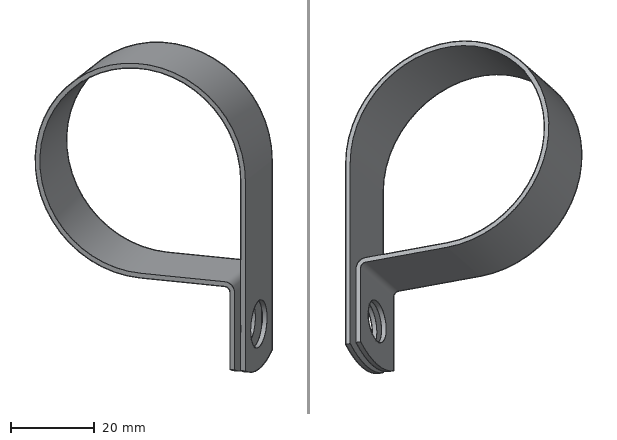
import cadquery as cq
import math

height = 75.8
width = 19.0
loop_radius = 26.6
thickness = 1.2
leg_gap = 1.5
bend_outer_radius = 2.5
inner_leg_hole_diameter = 10.3
outer_leg_hole_diameter = 11.5
hole_height = 11.2
end_radius = 22.0

loop_z = height - loop_radius
inner_radius = loop_radius - thickness
bend_inner_radius = bend_outer_radius - thickness
shelf_bottom = loop_z - loop_radius
shelf_top = shelf_bottom + thickness
inner_leg_right = inner_radius - leg_gap
inner_leg_left = inner_leg_right - thickness
bend_x = inner_leg_right - bend_outer_radius
bend_z = shelf_top - bend_outer_radius


def on_circle(center_x, center_z, radius, degrees):
    angle = math.radians(degrees)
    return (center_x + radius * math.cos(angle), center_z + radius * math.sin(angle))


def bent_strip():
    """Strip of constant thickness: outer leg, three-quarter loop, shelf, bend and inner leg."""
    return (
        cq.Workplane("XZ")
        .moveTo(loop_radius, 0)
        .lineTo(loop_radius, loop_z)
        .threePointArc(on_circle(0, loop_z, loop_radius, 135), (0, shelf_bottom))
        .lineTo(bend_x, shelf_bottom)
        .threePointArc(on_circle(bend_x, bend_z, bend_inner_radius, 45), (inner_leg_left, bend_z))
        .lineTo(inner_leg_left, 0)
        .lineTo(inner_leg_right, 0)
        .lineTo(inner_leg_right, bend_z)
        .threePointArc(on_circle(bend_x, bend_z, bend_outer_radius, 45), (bend_x, shelf_top))
        .lineTo(0, shelf_top)
        .threePointArc(on_circle(0, loop_z, inner_radius, 135), (inner_radius, loop_z))
        .lineTo(inner_radius, 0)
        .close()
        .extrude(width / 2, both=True)
    )


def rounded_end_envelope():
    """Block across both legs whose lower edge is an arc touching Z = 0 at mid width."""
    half_width = width / 2
    corner_z = end_radius - math.sqrt(end_radius**2 - half_width**2)
    return (
        cq.Workplane("YZ")
        .moveTo(-half_width, corner_z)
        .threePointArc((0, 0), (half_width, corner_z))
        .lineTo(half_width, height)
        .lineTo(-half_width, height)
        .close()
        .extrude(loop_radius, both=True)
    )


def leg_hole(diameter, leg_left):
    """Cylinder along X through the leg whose left face is at leg_left."""
    return (
        cq.Workplane("YZ", origin=(leg_left, 0, hole_height))
        .circle(diameter / 2)
        .extrude(thickness)
    )


result = (
    bent_strip()
    .intersect(rounded_end_envelope())
    .cut(leg_hole(inner_leg_hole_diameter, inner_leg_left))
    .cut(leg_hole(outer_leg_hole_diameter, inner_radius))
)